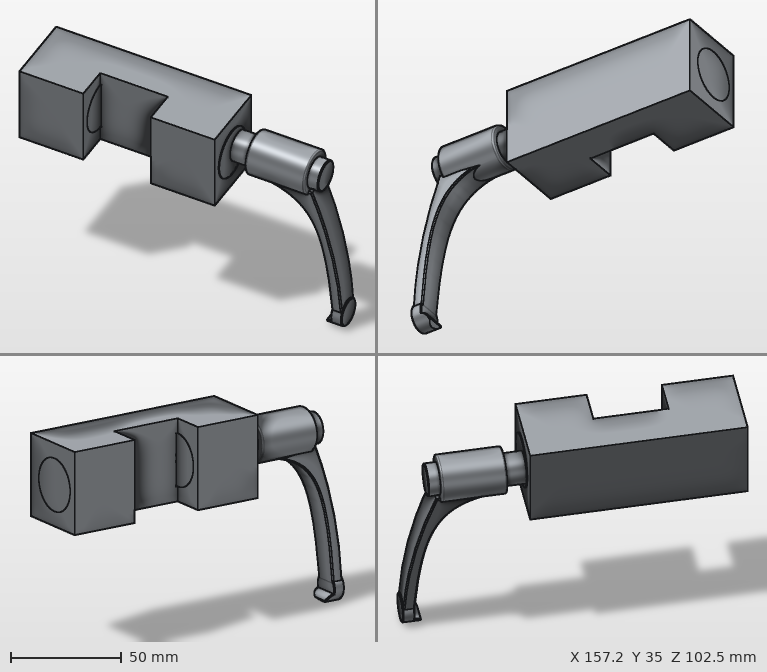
import cadquery as cq


BLOCK_LENGTH = 100.0
BLOCK_HEIGHT = 39.3
BLOCK_DEPTH = 35.0
BLOCK_BACK_Y = 13.7
BLOCK_FRONT_Y = BLOCK_BACK_Y - BLOCK_DEPTH
SLOT_WIDTH = 34.5
SLOT_DEPTH = 16.2
SLOT_FLOOR_Y = BLOCK_FRONT_Y + SLOT_DEPTH
ARM_LENGTH = (BLOCK_LENGTH - SLOT_WIDTH) / 2

PLUG_RADIUS = 12.5
RIGHT_PLUG_PROUD = 0.5
LEFT_BORE_OVERRUN = 0.5
RIGHT_BORE_OVERRUN = 1.0
RIGHT_ARM_START = ARM_LENGTH + SLOT_WIDTH
RIGHT_PLUG_END = BLOCK_LENGTH + RIGHT_PLUG_PROUD
PLUG_SPANS = [(0, ARM_LENGTH), (RIGHT_ARM_START, RIGHT_PLUG_END)]
BORE_SPANS = [
    (0, ARM_LENGTH + LEFT_BORE_OVERRUN),
    (RIGHT_ARM_START - RIGHT_BORE_OVERRUN, BLOCK_LENGTH),
]

HANDLE_AXIS_Z = 0.3
ROD_RADIUS = 4.0
ROD_START = ARM_LENGTH / 2

HUB_RADIUS = 10.8
HUB_START = 109.7
HUB_END = 139.9
HUB_EDGE_FILLET = 0.8
STUB_RADIUS = 7.5
STUB_END = 145.5
STUB_CHAMFER = 0.5

LEVER_TIP_X = 157.2
OVERALL_HEIGHT = 102.5
LEVER_BOTTOM_Z = BLOCK_HEIGHT / 2 - OVERALL_HEIGHT
ARM_OUTER_TOP = (141.7, -6.3)
ARM_OUTER_MIDDLE = (151.2, -35.4)
ARM_INNER_CURVE = [(149.6, -54.7), (147.2, -40.5), (143.3, -27.5), (136.0, -16.3), (128.7, -11.5), (120.2, -8.8)]
ARM_TOP_HALF_WIDTH = 6.8
ARM_END_HALF_WIDTH = 5.8
ARM_EDGE_CHAMFER = 0.6
ARM_EMBEDMENT = 0.3

PAD_RADIUS = 6.9
PAD_CENTRE_Z = LEVER_BOTTOM_Z + PAD_RADIUS
PAD_INNER_X = 151.5
PAD_EDGE_CHAMFER = 0.5
LIP_X = 148.2
LIP_TOP_Z = -77.8
LIP_TIP_Z = -81.1
LIP_CREST = (149.3, -79.0)
LIP_BOTTOM_X = 150.2


def x_cylinder(radius, start, end, y, z):
    return cq.Workplane("YZ", origin=(start, y, z)).circle(radius).extrude(end - start)


def handle_cylinder(radius, start, end):
    return x_cylinder(radius, start, end, 0, HANDLE_AXIS_Z)


def plug_cylinder(start, end):
    return x_cylinder(PLUG_RADIUS, start, end, SLOT_FLOOR_Y, 0)


def make_rod():
    """Rod of the handle; the same shape makes its holes in the block and plugs."""
    return handle_cylinder(ROD_RADIUS, ROD_START, RIGHT_PLUG_END)


def make_plug(start, end):
    return plug_cylinder(start, end).cut(make_rod())


def make_block():
    block = cq.Workplane("XY").box(
        BLOCK_LENGTH, BLOCK_DEPTH, BLOCK_HEIGHT, centered=(False, False, True)
    ).translate((0, BLOCK_FRONT_Y, 0))
    slot = cq.Workplane("XY").box(
        SLOT_WIDTH, SLOT_DEPTH, BLOCK_HEIGHT, centered=(False, False, True)
    ).translate((ARM_LENGTH, BLOCK_FRONT_Y, 0))
    block = block.cut(slot)
    for start, end in BORE_SPANS:
        block = block.cut(plug_cylinder(start, end))
    return block.cut(make_rod())


def make_hub():
    stub = handle_cylinder(STUB_RADIUS, RIGHT_PLUG_END, STUB_END).faces(">X").chamfer(STUB_CHAMFER)
    hub = handle_cylinder(HUB_RADIUS, HUB_START, HUB_END).edges().fillet(HUB_EDGE_FILLET)
    return hub.union(stub)


def make_arm():
    """Curved blade under the hub, narrowing in Y toward the pad."""
    profile = (
        cq.Workplane("XZ", origin=(0, ARM_TOP_HALF_WIDTH, 0))
        .moveTo(*ARM_OUTER_TOP)
        .threePointArc(ARM_OUTER_MIDDLE, (LEVER_TIP_X - ARM_EMBEDMENT, PAD_CENTRE_Z))
        .lineTo(PAD_INNER_X + ARM_EMBEDMENT, PAD_CENTRE_Z)
        .spline(ARM_INNER_CURVE, includeCurrent=True)
        .close()
        .extrude(2 * ARM_TOP_HALF_WIDTH)
    )
    taper = (
        cq.Workplane("YZ")
        .polyline([
            (-ARM_TOP_HALF_WIDTH, 0),
            (ARM_TOP_HALF_WIDTH, 0),
            (ARM_END_HALF_WIDTH, PAD_CENTRE_Z),
            (-ARM_END_HALF_WIDTH, PAD_CENTRE_Z),
        ])
        .close()
        .extrude(LEVER_TIP_X)
    )
    blade = profile.intersect(taper)
    return blade.faces("<Y or >Y").edges().chamfer(ARM_EDGE_CHAMFER)


def make_pad():
    """Round end of the lever with a lip that hooks back toward the block."""
    profile = (
        cq.Workplane("XZ", origin=(0, PAD_RADIUS, 0))
        .moveTo(LEVER_TIP_X, PAD_CENTRE_Z + PAD_RADIUS)
        .lineTo(LEVER_TIP_X, LEVER_BOTTOM_Z)
        .lineTo(LIP_BOTTOM_X, LEVER_BOTTOM_Z)
        .lineTo(LIP_X, LIP_TIP_Z)
        .threePointArc(LIP_CREST, (PAD_INNER_X, LIP_TOP_Z))
        .lineTo(PAD_INNER_X, PAD_CENTRE_Z + PAD_RADIUS)
        .close()
        .extrude(2 * PAD_RADIUS)
    )
    disc = (
        cq.Workplane("YZ", origin=(LIP_X, 0, PAD_CENTRE_Z))
        .circle(PAD_RADIUS)
        .extrude(LEVER_TIP_X - LIP_X)
        .faces(">X").chamfer(PAD_EDGE_CHAMFER)
    )
    pad = disc.intersect(profile)
    inner_face = cq.selectors.NearestToPointSelector((PAD_INNER_X, 0, PAD_CENTRE_Z + PAD_RADIUS / 2))
    crest = cq.selectors.NearestToPointSelector((LIP_CREST[0], 0, LIP_CREST[1]))
    inner_edges = pad.faces(inner_face).edges("%CIRCLE")
    lip_edges = pad.faces(crest).edges("<Y or >Y")
    return inner_edges.add(lip_edges).chamfer(PAD_EDGE_CHAMFER)


def make_handle():
    return make_hub().union(make_rod()).union(make_arm()).union(make_pad())


plugs = [make_plug(start, end) for start, end in PLUG_SPANS]
block = make_block()
handle = make_handle()

result = cq.Compound.makeCompound([block.val(), *[plug.val() for plug in plugs], handle.val()])